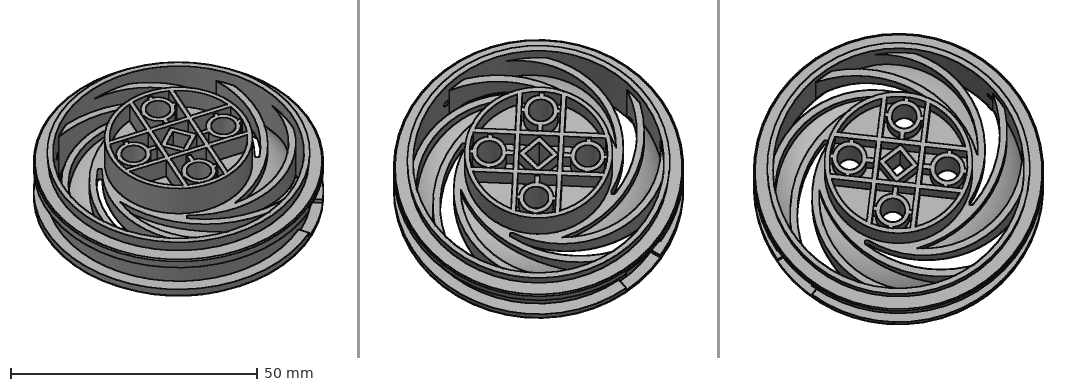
import cadquery as cq
import math

rim_height = 15.0
rim_inner_radius = 25.5
rim_end_radius = 26.7
rim_root_radius = 26.5
band_radius = 27.0
flange_radius = 29.45
flange_chamfer = 0.3
flange_thickness = 2.0
flange_inset = 2.5

window_count = 2
window_height = 8.0
window_half_angle = 10.0
pin_hole_diameter = 1.55
mid_height = rim_height / 2

tab_height = 0.5
tab_width = 1.3

hub_radius = 15.0
hub_top = 19.0
wall = 1.0
hub_floor = 14.5
fitting_drop = 0.6
grid_angle = 40.0
rib_offset = 4.5
rib_count = 4
bore_count = 4
bore_circle_radius = 10.0
bore_diameter = 5.0
boss_radius = bore_diameter / 2 + wall
square_hole = 3.75
socket_angle = 45.0
square_boss = square_hole + 2 * wall

vane_count = 4
vane_top = 12.0
vane_rim_width = 1.5
shell_thickness = 1.5
dome_underside = 9.0
dome_start_radius = 15.6
convex_centre = (-6.35, 0.7)
convex_radius = 21.45
concave_centre = (-8.85, 3.2)
concave_radius = 24.3
slot_end_radius = 0.5

dome_span = rim_inner_radius - dome_start_radius
dome_radius = (dome_span**2 + dome_underside**2) / (2 * dome_underside)
dome_centre_z = dome_underside - dome_radius


def turn(shape, angle):
    return shape.rotate((0, 0, 0), (0, 0, 1), angle)


def cylinder(radius, bottom, top, centre=(0, 0)):
    return cq.Workplane("XY", origin=(0, 0, bottom)).center(*centre).circle(radius).extrude(top - bottom)


def around_axis(shape, count):
    """Copies of a shape spread evenly about Z, joined together."""
    copies = shape
    for index in range(1, count):
        copies = copies.union(turn(shape, index * 360 / count))
    return copies


def dome(offset, top):
    """Solid of revolution from the domed surface (raised by offset) up to a level top."""
    radius = dome_radius + offset
    slope_angle = math.asin(dome_span / radius)

    def on_arc(angle):
        return (dome_start_radius + radius * math.sin(angle), dome_centre_z + radius * math.cos(angle))

    return (
        cq.Workplane("XZ")
        .moveTo(0, dome_underside + offset)
        .lineTo(*on_arc(0))
        .threePointArc(on_arc(slope_angle / 2), on_arc(slope_angle))
        .lineTo(rim_inner_radius, top)
        .lineTo(0, top)
        .close()
        .revolve(360, (0, 0), (0, 1))
    )


def make_rim():
    lower_face = flange_inset
    lower_inner_face = flange_inset + flange_thickness
    upper_inner_face = rim_height - lower_inner_face
    upper_face = rim_height - lower_face
    chamfer_radius = flange_radius - flange_chamfer
    outline = [
        (rim_inner_radius, 0),
        (rim_end_radius, 0),
        (rim_root_radius, lower_face),
        (chamfer_radius, lower_face),
        (flange_radius, lower_face + flange_chamfer),
        (flange_radius, lower_inner_face),
        (band_radius, lower_inner_face),
        (band_radius, upper_inner_face),
        (flange_radius, upper_inner_face),
        (flange_radius, upper_face - flange_chamfer),
        (chamfer_radius, upper_face),
        (rim_root_radius, upper_face),
        (rim_end_radius, rim_height),
        (rim_inner_radius, rim_height),
    ]
    return cq.Workplane("XZ").polyline(outline).close().revolve(360, (0, 0), (0, 1))


def cut_windows(body):
    """Wedge-shaped notches through the flange edges, with a pin hole, at both ends of X."""
    reach = 2 * flange_radius
    half_width = reach * math.tan(math.radians(window_half_angle))
    wedge = (
        cq.Workplane("XY", origin=(0, 0, mid_height - window_height / 2))
        .polyline([(0, 0), (reach, half_width), (reach, -half_width)])
        .close()
        .extrude(window_height)
    )
    band = cylinder(band_radius, flange_inset, rim_height - flange_inset)
    band = band.cut(cylinder(rim_inner_radius, 0, rim_height))
    pin_hole = (
        cq.Workplane("YZ", origin=(rim_inner_radius - wall, 0, mid_height))
        .circle(pin_hole_diameter / 2)
        .extrude(reach)
        .cut(cylinder(rim_inner_radius, 0, rim_height))
    )
    return body.cut(around_axis(wedge, window_count)).union(band).cut(around_axis(pin_hole, window_count))


def make_tab():
    block = cq.Workplane("XY", origin=(-flange_radius / 2, 0, -tab_height)).box(
        flange_radius, tab_width, tab_height, centered=(True, True, False)
    )
    ring = cylinder(rim_end_radius, -tab_height, 0).cut(cylinder(rim_inner_radius, -tab_height, 0))
    return block.intersect(ring)


def polar(centre, radius, angle):
    return (centre[0] + radius * math.cos(angle), centre[1] + radius * math.sin(angle))


def make_slot():
    """Half crescent between the convex edge of one vane and the concave edge of the next.

    It runs from a rounded tip at the hub to the widest place, which lies outside the rim bore.
    """
    shift = math.dist(convex_centre, concave_centre)
    widest = math.atan2(concave_centre[1] - convex_centre[1], concave_centre[0] - convex_centre[0])

    to_convex = convex_radius + slot_end_radius
    to_concave = concave_radius - slot_end_radius
    opening = math.acos((shift**2 + to_convex**2 - to_concave**2) / (2 * shift * to_convex))
    tip_angle = widest - opening
    tip_centre = polar(convex_centre, to_convex, tip_angle)
    touch_angle = math.atan2(tip_centre[1] - concave_centre[1], tip_centre[0] - concave_centre[0])

    return (
        cq.Workplane("XY")
        .moveTo(*polar(convex_centre, convex_radius, widest))
        .threePointArc(
            polar(convex_centre, convex_radius, (widest + tip_angle) / 2),
            polar(convex_centre, convex_radius, tip_angle),
        )
        .threePointArc(
            polar(tip_centre, slot_end_radius, (tip_angle + touch_angle - math.pi) / 2),
            polar(concave_centre, concave_radius, touch_angle),
        )
        .threePointArc(
            polar(concave_centre, concave_radius, (widest + touch_angle) / 2),
            polar(concave_centre, concave_radius, widest),
        )
        .close()
        .extrude(vane_top)
    )


def make_vanes():
    vanes = dome(0, vane_top)
    slot = make_slot().intersect(cylinder(rim_inner_radius, 0, vane_top))

    far_side_centre = (-concave_centre[1], concave_centre[0])
    hollow = (
        cylinder(convex_radius - vane_rim_width, 0, vane_top, convex_centre)
        .cut(cylinder(concave_radius + vane_rim_width, 0, vane_top, far_side_centre))
        .intersect(dome(shell_thickness, vane_top))
    )
    return vanes.cut(around_axis(slot, vane_count)).cut(around_axis(hollow, vane_count))


def make_hub():
    """Cup with a rib grid, bosses and a square socket, plus the openings to cut through it.

    Both are built with the grid square to X and Y, then turned to the grid angle.
    """
    fitting_top = hub_top - fitting_drop

    def bar(length, width, top, centre=(0, 0)):
        return cq.Workplane("XY", origin=(*centre, hub_floor)).box(
            length, width, top - hub_floor, centered=(True, True, False)
        )

    inner_radius = hub_radius - wall
    ribs = around_axis(bar(2 * hub_radius, wall, hub_top, (0, rib_offset)), rib_count)

    boss_centre = (bore_circle_radius, 0)
    stub_end = hub_radius - wall / 2
    boss = (
        cylinder(boss_radius, hub_floor, fitting_top, boss_centre)
        .union(bar(stub_end - rib_offset, wall, fitting_top, ((stub_end + rib_offset) / 2, 0)))
        .union(bar(wall, 2 * rib_offset, fitting_top, boss_centre))
    )
    socket_boss = bar(square_boss, square_boss, fitting_top)
    fittings = ribs.union(around_axis(boss, bore_count)).union(turn(socket_boss, socket_angle))
    fittings = fittings.intersect(cylinder(hub_radius, hub_floor, hub_top))

    bores = around_axis(cylinder(bore_diameter / 2, 0, hub_top, boss_centre), bore_count)
    socket = cq.Workplane("XY").rect(square_hole, square_hole).extrude(hub_top)

    hub = (
        cylinder(hub_radius, dome_underside, hub_top)
        .cut(cylinder(inner_radius, hub_floor, hub_top))
        .union(fittings)
    )
    openings = bores.union(turn(socket, socket_angle))
    return turn(hub, grid_angle), turn(openings, grid_angle)


hub, hub_openings = make_hub()
result = cut_windows(make_rim()).union(make_tab()).union(make_vanes()).union(hub).cut(hub_openings)